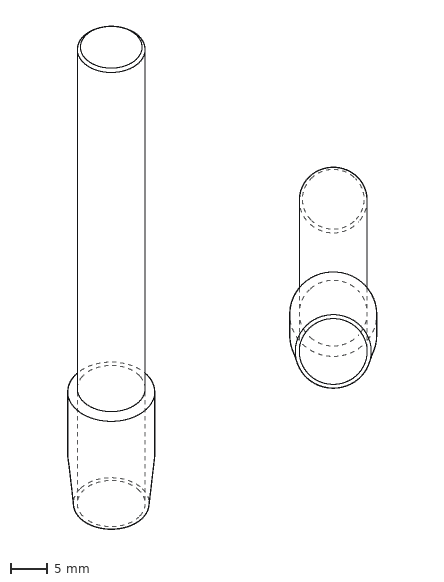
import cadquery as cq

total_length = 85.7

sleeve_diameter = 12.0
sleeve_length = 21.6
taper_length = 9.0
taper_end_diameter = 10.45
shoulder_rise = 0.6

pin_diameter = 9.3
pin_chamfer = 0.4


def make_pin():
    """Straight rod with a chamfered top edge."""
    rod = cq.Workplane("XY").circle(pin_diameter / 2).extrude(total_length)
    return rod.faces(">Z").chamfer(pin_chamfer)


def make_sleeve():
    """Revolved ring that narrows toward its lower end, with a conical shoulder up to the pin."""
    bore_radius = pin_diameter / 2
    outer_radius = sleeve_diameter / 2
    return (
        cq.Workplane("XZ")
        .moveTo(bore_radius, 0)
        .lineTo(taper_end_diameter / 2, 0)
        .lineTo(outer_radius, taper_length)
        .lineTo(outer_radius, sleeve_length - shoulder_rise)
        .lineTo(bore_radius, sleeve_length)
        .close()
        .revolve(360, (0, 0, 0), (0, 1, 0))
    )


pin = make_pin()
sleeve = make_sleeve()

result = cq.Compound.makeCompound([pin.val(), sleeve.val()])